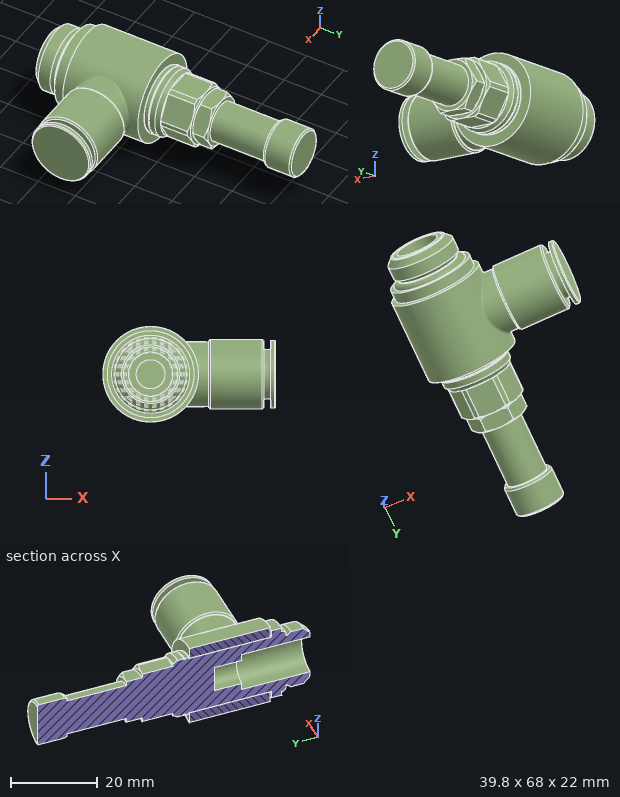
import cadquery as cq
import math


tip_rim_length = 0.15
thread_start = 1.7
thread_end = 4.8
groove_bottom = 5.8
seal_start = 6.0
collar_start = 7.1
collar_end = 9.7
housing_start = 9.9
housing_length = 20.1
housing_end = housing_start + housing_length
lip_length = 1.1
lip_peak = housing_end + lip_length / 2
lip_end = housing_end + lip_length
shoulder_start = lip_end + 0.3
shoulder_edge = 33.05
body_hex_start = 34.2
body_hex_end = 41.8
lock_nut_end = 45.8
knob_start = 60.5
total_length = 68.0

tip_rim_radius = 6.25
tip_radius = 6.7
thread_radius = 8.2
groove_radius = 7.4
seal_radius = 9.0
seal_round = 1.0
collar_radius = 10.0
shank_radius = 8.15
lip_base_radius = 8.3
lip_radius = 8.5
shoulder_radius = 8.4
shoulder_top_radius = 7.7
body_hex_flats = 14.15
body_hex_corner_radius = 7.8
lock_nut_flats = 12.1
rod_radius = 4.95
knob_radius = 6.0
knob_lower_chamfer = (0.35, 0.6)
knob_upper_chamfer = 0.4
hex_chamfer_angle = math.radians(30)

bore_radius = 5.1
bore_depth = 17.0
inner_bore_radius = 3.3
inner_bore_depth = 23.8

housing_radius = 11.0
port_y = housing_start + housing_length / 2
neck_radius = 7.5
neck_fillet = 0.55
sleeve_start = 13.3
sleeve_end = 26.05
sleeve_radius = 8.0
sleeve_chamfer = 0.4
ring_neck_radius = 5.7
ring_neck_fillet = 0.35
flange_start = 27.6
flange_end = 28.75
flange_radius = 7.8
flange_chamfer = 0.3


def cylinder_y(radius, start, end):
    """Cylinder on the stud axis between two Y stations."""
    return cq.Workplane("XZ", origin=(0, start, 0)).circle(radius).extrude(start - end)


def cylinder_x(radius, start, end):
    """Cylinder on the tube port axis between two X stations."""
    return cq.Workplane("YZ", origin=(start, port_y, 0)).circle(radius).extrude(end - start)


def hexagon(flats, start, end):
    """Hexagonal prism on the stud axis, with corners on the X axis."""
    corner_diameter = flats / math.cos(math.pi / 6)
    return cq.Workplane("XZ", origin=(0, start, 0)).polygon(6, corner_diameter).extrude(start - end)


def turned_hexagon(flats, corner_radius, start, end, chamfer_start):
    """Hexagon trimmed by a turned blank; its end rim (and start rim if asked) is chamfered."""
    rim_radius = flats / 2
    drop = (corner_radius - rim_radius) * math.tan(hex_chamfer_angle)
    blank = cq.Workplane("XY").moveTo(0, start)
    if chamfer_start:
        blank = blank.lineTo(rim_radius, start).lineTo(corner_radius, start + drop)
    else:
        blank = blank.lineTo(corner_radius, start)
    blank = blank.lineTo(corner_radius, end - drop).lineTo(rim_radius, end).lineTo(0, end).close()
    return hexagon(flats, start, end).intersect(blank.revolve(360, (0, 0, 0), (0, 1, 0)))


def make_turned_stud():
    """Turned lower part of the stud: tip, thread, seal, collar, shank, lip and shoulder."""
    eighth = math.pi / 4
    seal_center_radius = seal_radius - seal_round
    seal_center_y = seal_start + seal_round
    lip_rise = lip_radius - shank_radius
    lip_upper_height = lip_end - lip_peak
    profile = (
        cq.Workplane("XY")
        .moveTo(0, 0)
        .lineTo(tip_rim_radius, 0)
        .lineTo(tip_rim_radius, tip_rim_length)
        .lineTo(tip_radius, tip_rim_length)
        .lineTo(thread_radius, thread_start)
        .lineTo(thread_radius, thread_end)
        .lineTo(groove_radius, groove_bottom)
        .lineTo(groove_radius, seal_start)
        .lineTo(seal_center_radius, seal_start)
        .threePointArc(
            (
                seal_center_radius + seal_round * math.cos(eighth),
                seal_center_y - seal_round * math.sin(eighth),
            ),
            (seal_radius, seal_center_y),
        )
        .lineTo(seal_radius, collar_start)
        .lineTo(collar_radius, collar_start)
        .lineTo(collar_radius, collar_end)
        .lineTo(shank_radius, collar_end)
        .lineTo(shank_radius, housing_end)
        .lineTo(lip_base_radius, housing_end)
        .lineTo(lip_radius, lip_peak)
        .threePointArc(
            (shank_radius + lip_rise * math.cos(eighth), lip_peak + lip_upper_height * math.sin(eighth)),
            (shank_radius, lip_end),
        )
        .lineTo(shank_radius, shoulder_start)
        .lineTo(shoulder_radius, shoulder_start)
        .lineTo(shoulder_radius, shoulder_edge)
        .lineTo(shoulder_top_radius, body_hex_start)
        .lineTo(0, body_hex_start)
        .close()
    )
    return profile.revolve(360, (0, 0, 0), (0, 1, 0))


def make_knob():
    """Knob with chamfered rims."""
    radial, axial = knob_lower_chamfer
    profile = (
        cq.Workplane("XY")
        .moveTo(0, knob_start)
        .lineTo(knob_radius - radial, knob_start)
        .lineTo(knob_radius, knob_start + axial)
        .lineTo(knob_radius, total_length - knob_upper_chamfer)
        .lineTo(knob_radius - knob_upper_chamfer, total_length)
        .lineTo(0, total_length)
        .close()
    )
    return profile.revolve(360, (0, 0, 0), (0, 1, 0))


def make_stud():
    lock_nut_corner_radius = lock_nut_flats / 2 / math.cos(math.pi / 6)
    body_hex = turned_hexagon(body_hex_flats, body_hex_corner_radius, body_hex_start, body_hex_end, False)
    lock_nut = turned_hexagon(lock_nut_flats, lock_nut_corner_radius, body_hex_end, lock_nut_end, True)
    rod = cylinder_y(rod_radius, lock_nut_end, knob_start)
    stud = make_turned_stud().union(body_hex).union(lock_nut).union(rod).union(make_knob())
    for radius, depth in ((bore_radius, bore_depth), (inner_bore_radius, inner_bore_depth)):
        stud = stud.cut(cylinder_y(radius, 0, depth))
    return stud


def make_housing():
    barrel = cylinder_y(housing_radius, housing_start, housing_end)
    neck = cylinder_x(neck_radius, 0, sleeve_start)
    zone_margin = neck_fillet
    saddle_zone = cq.selectors.BoxSelector(
        (0, port_y - neck_radius - zone_margin, -neck_radius - zone_margin),
        (sleeve_start - zone_margin, port_y + neck_radius + zone_margin, neck_radius + zone_margin),
    )
    body = barrel.union(neck).edges(saddle_zone).fillet(neck_fillet)
    sleeve = cylinder_x(sleeve_radius, sleeve_start, sleeve_end).edges("%CIRCLE").chamfer(sleeve_chamfer)
    ring_neck = cylinder_x(ring_neck_radius, sleeve_end, flange_start)
    flange = cylinder_x(flange_radius, flange_start, flange_end).faces(">X").chamfer(flange_chamfer)
    port = sleeve.union(ring_neck).union(flange)
    smallest = cq.selectors.RadiusNthSelector(0)
    port = port.edges("%CIRCLE").edges(smallest).fillet(ring_neck_fillet)
    return body.union(port).cut(cylinder_y(shank_radius, housing_start, housing_end))


stud = make_stud()
housing = make_housing()
result = cq.Compound.makeCompound([stud.solids().val(), housing.solids().val()])